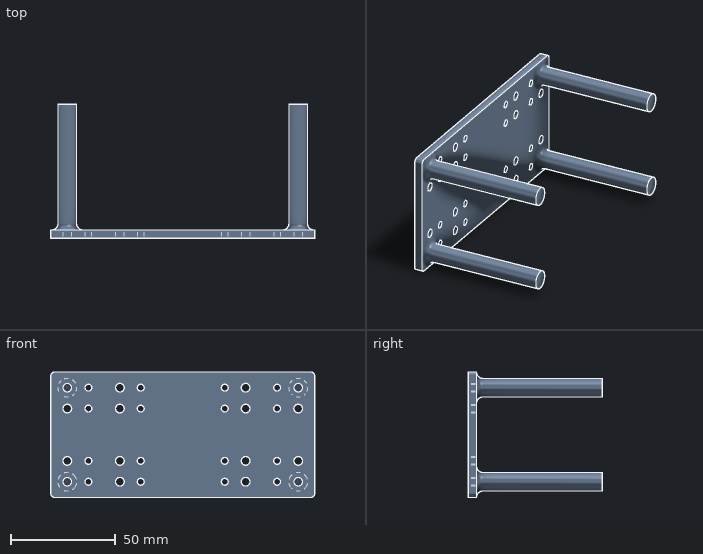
import cadquery as cq

plate_length = 126.0
plate_height = 60.0
plate_thickness = 4.0
corner_radius = 2.0

overall_depth = 64.0
post_diameter = 9.0
post_root_radius = 3.0
post_length = overall_depth - plate_thickness

large_hole_diameter = 4.0
small_hole_diameter = 3.2
outer_large_x = 55.0
inner_large_x = 30.0
outer_small_x = 45.0
inner_small_x = 20.0
outer_row_z = 22.4
inner_row_z = 12.5


def mirrored_points(x_offsets, z_offsets):
    """Every (x, z) pair repeated in all four quadrants of the plate."""
    return [
        (side * x, level * z)
        for x in x_offsets
        for z in z_offsets
        for side in (-1, 1)
        for level in (-1, 1)
    ]


def rods(points, diameter, start_y, length):
    """Round rods along +Y from start_y, one at each (x, z) point."""
    plane = cq.Workplane("XZ", origin=(0, start_y, 0))
    return plane.pushPoints(points).circle(diameter / 2).extrude(-length)


def make_plate():
    blank = cq.Workplane("XZ").rect(plate_length, plate_height).extrude(-plate_thickness)
    return blank.edges("|Y").fillet(corner_radius)


def add_posts(plate):
    """Join the four posts and blend each root into the back of the plate."""
    post_points = mirrored_points([outer_large_x], [outer_row_z])
    posts = rods(post_points, post_diameter, plate_thickness, post_length)
    reach_x = outer_large_x + post_diameter
    reach_z = outer_row_z + post_diameter / 2
    root_box = cq.selectors.BoxSelector(
        (-reach_x, plate_thickness / 2, -reach_z),
        (reach_x, plate_thickness * 3 / 2, reach_z),
    )
    return plate.union(posts).edges("%CIRCLE").edges(root_box).fillet(post_root_radius)


def cut_holes(body):
    """Cut holes through the plate only; those behind the posts end blind at the post roots."""
    rows = [outer_row_z, inner_row_z]
    large_points = mirrored_points([outer_large_x, inner_large_x], rows)
    small_points = mirrored_points([outer_small_x, inner_small_x], rows)
    large_holes = rods(large_points, large_hole_diameter, 0, plate_thickness)
    small_holes = rods(small_points, small_hole_diameter, 0, plate_thickness)
    return body.cut(large_holes).cut(small_holes)


result = cut_holes(add_posts(make_plate()))